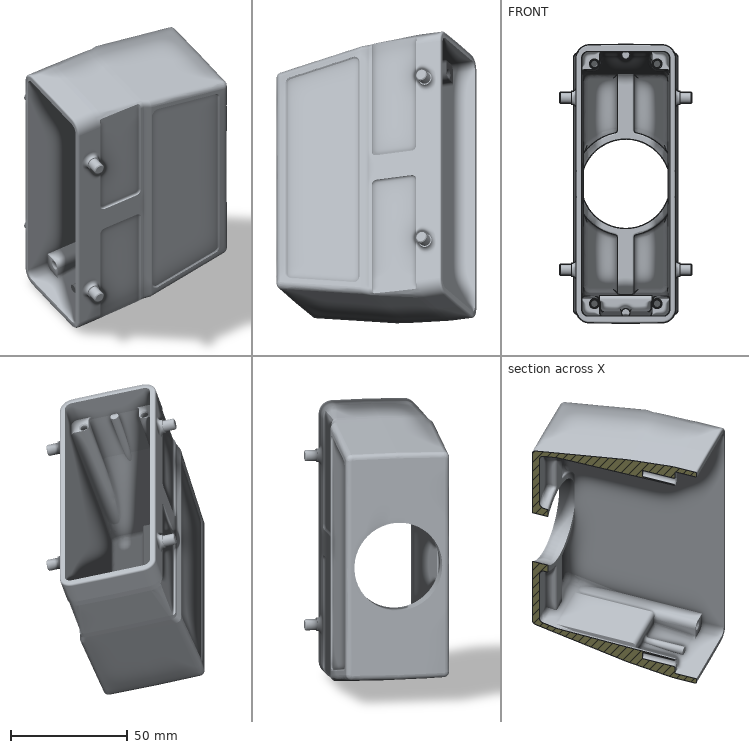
import cadquery as cq
import math

DEPTH = 76.0
FRONT_HALF_WIDTH = 21.4
REAR_HALF_WIDTH = 22.55
FRONT_HALF_HEIGHT = 60.1
MID_HALF_HEIGHT = 57.6
REAR_HALF_HEIGHT = 49.2
END_CROWN = 0.3
FRONT_CORNER_RADIUS = 5.8
REAR_CORNER_RADIUS = 2.4
FRONT_BEND = 11.25
MID_BEND = 32.1
BEND_HALF_LENGTH = 1.3
FLARE_START = MID_BEND + BEND_HALF_LENGTH
FLARE_END = 36.5
REAR_EDGE_RADIUS = 2.2
RIM_RADIUS = 0.8

OPENING_HALF_WIDTH = 19.0
FLOOR_HALF_WIDTH = 18.1
END_WALL = 3.1
CAVITY_CORNER_RADIUS = 3.0
REAR_WALL = 3.5
FLOOR_Y = DEPTH - REAR_WALL
FLOOR_FILLET = 1.9
POCKET_CORNER_RADIUS = 1.2

ENTRY_RADIUS = 19.2
COLLAR_RADIUS = 22.4
SPINE_HALF_WIDTH = 3.6
RIB_HEIGHT = 4.0
RIB_EDGE_FILLET = 0.8

POST_X = 13.5
POST_Z = 51.6
POST_FRONT_Y = 10.0
POST_INNER_X = 11.2
POST_INNER_Z = 49.2
POST_CORNER_RADIUS = 2.6
POST_DRAFT = 1.0
POST_FOOT_RADIUS = 1.3
SCREW_HOLE_RADIUS = 1.6
SCREW_HOLE_DEPTH = 15.0
SCREW_HOLE_CHAMFER = 0.5
LEDGE_FRONT_Y = 29.0
LEDGE_TOP_Z = 48.1
LEDGE_EDGE_RADIUS = 1.8
LEDGE_FOOT_RADIUS = 1.3
ROOT_Z = 58.0
GUIDE_RADIUS = 1.8
GUIDE_Z = 55.5
GUIDE_FRONT_Y = 11.0

GRIP_FRONT_Y = 11.3
GRIP_REAR_Y = 31.8
GRIP_INNER_Z = 5.6
GRIP_DEPTH = 1.0
GRIP_CORNER_RADIUS = 2.2
GRIP_FLOOR_FILLET = 0.9
PANEL_FRONT_Y = 37.1
PANEL_REAR_Y = 71.2
PANEL_EDGE_MARGIN = 4.7
PANEL_DEPTH = 0.6
PANEL_CORNER_RADIUS = 2.5
PANEL_BEVEL = 0.55

PIN_Y = 6.3
PIN_Z = 37.0
PIN_RADIUS = 2.4
PIN_TIP_X = 28.5
PIN_TIP_CHAMFER = 0.4
PIN_COLLAR_RADIUS = 2.9
PIN_COLLAR_X = 23.4
PIN_FOOT_RADIUS = 4.5
PIN_FOOT_END_X = 23.0

HOLLOW_MIDDLE = 1 - math.sqrt(0.5)


def interpolate(y, points):
    """Piecewise linear value at y through (y, value) points."""
    for (y0, v0), (y1, v1) in zip(points, points[1:]):
        if y <= y1:
            return v0 + (v1 - v0) * (y - y0) / (y1 - y0)
    return points[-1][1]


def half_width(y):
    return interpolate(y, [(0, FRONT_HALF_WIDTH), (FLARE_START, FRONT_HALF_WIDTH),
                           (FLARE_END, REAR_HALF_WIDTH), (DEPTH, REAR_HALF_WIDTH)])


def half_height(y):
    return interpolate(y, [(0, FRONT_HALF_HEIGHT), (FRONT_BEND, FRONT_HALF_HEIGHT),
                           (MID_BEND, MID_HALF_HEIGHT), (DEPTH, REAR_HALF_HEIGHT)])


def corner_radius(y):
    return interpolate(y, [(0, FRONT_CORNER_RADIUS), (FRONT_BEND, FRONT_CORNER_RADIUS),
                           (MID_BEND, REAR_CORNER_RADIUS), (DEPTH, REAR_CORNER_RADIUS)])


def cavity_half_width(y):
    return interpolate(y, [(0, OPENING_HALF_WIDTH), (FLOOR_Y, FLOOR_HALF_WIDTH)])


def section(y, width, height, radius, crown=0):
    """Rounded rectangle in the plane at depth y; a crown ridges it at the middle of both ends."""
    side = height - crown
    points = [(-width, -side), (width, -side), (width, side), (-width, side)]
    if crown:
        points.insert(1, (0, -height))
        points.insert(4, (0, height))
    outline = cq.Wire.makePolygon([cq.Vector(x, y, z) for x, z in points], close=True)
    corners = [v for v in outline.Vertices() if abs(v.X) > width / 2]
    return outline.fillet2D(radius, corners)


def outer_body():
    stations = [0,
                FRONT_BEND - BEND_HALF_LENGTH, FRONT_BEND + BEND_HALF_LENGTH,
                MID_BEND - BEND_HALF_LENGTH, FLARE_START, FLARE_END, DEPTH]
    wires = [section(y, half_width(y), half_height(y), corner_radius(y), END_CROWN)
             for y in stations]
    body = cq.Workplane(cq.Solid.makeLoft(wires, True))
    body = body.faces(">Y").edges().fillet(REAR_EDGE_RADIUS)
    return body.faces("<Y").edges().fillet(RIM_RADIUS)


def cavity():
    stations = [0, FRONT_BEND, MID_BEND, FLOOR_Y]
    wires = [section(y, cavity_half_width(y), half_height(y) - END_WALL,
                     CAVITY_CORNER_RADIUS)
             for y in stations]
    space = cq.Workplane(cq.Solid.makeLoft(wires, True))
    slab_y = FLOOR_Y - RIB_HEIGHT
    slab = along_y(slab_y).rect(2 * REAR_HALF_WIDTH, 2 * FRONT_HALF_HEIGHT).extrude(RIB_HEIGHT)
    hall = space.cut(slab).cut(end_fittings())
    return hall.union(floor_pockets(space.intersect(slab)))


def floor_pockets(slab):
    """Four sunk pockets left between the collar, the spine and the cavity walls."""
    pockets = slab.cut(floor_ribs())
    outermost = cq.selectors.DirectionMinMaxSelector(cq.Vector(1, 0, 1))
    pocket = cq.Workplane(pockets.solids(outermost).val())
    pocket = pocket.faces(">Y").edges().fillet(FLOOR_FILLET)
    right = pocket.union(pocket.mirror("XY"))
    return right.union(right.mirror("YZ"))


def along_y(start_y):
    """Plane at depth start_y, facing +Y, with its own x along -X and its own y along Z."""
    return cq.Workplane(cq.Plane((0, start_y, 0), (-1, 0, 0), (0, 1, 0)))


def floor_ribs():
    """Collar round the cable entry, with a spine running to both ends."""
    rib_y = FLOOR_Y - RIB_HEIGHT
    collar = along_y(rib_y).circle(COLLAR_RADIUS).extrude(RIB_HEIGHT)
    spine = along_y(rib_y).rect(2 * SPINE_HALF_WIDTH, 2 * FRONT_HALF_HEIGHT).extrude(RIB_HEIGHT)
    ribs = collar.union(spine)
    junctions = ribs.edges("|Y").filter(lambda edge: abs(edge.Center().z) < COLLAR_RADIUS)
    ribs = junctions.fillet(POCKET_CORNER_RADIUS)
    return ribs.faces("<Y").edges().fillet(RIB_EDGE_FILLET)


def end_fittings():
    """Four screw posts, a round guide rib at each end wall and the ledge at the lower end."""
    post_length = FLOOR_Y - POST_FRONT_Y
    post_width = REAR_HALF_WIDTH - POST_INNER_X
    post_height = FRONT_HALF_HEIGHT - POST_INNER_Z
    post = (along_y(POST_FRONT_Y)
            .center(-POST_INNER_X - post_width / 2, POST_INNER_Z + post_height / 2)
            .sketch()
            .rect(post_width, post_height)
            .vertices(">X and <Y")
            .fillet(POST_CORNER_RADIUS)
            .finalize()
            .extrude(post_length, taper=-POST_DRAFT))
    posts = post.union(post.mirror("YZ"))
    guide = along_y(GUIDE_FRONT_Y).center(0, GUIDE_Z).circle(GUIDE_RADIUS)
    guide = guide.extrude(FLOOR_Y - GUIDE_FRONT_Y)
    upper = posts.union(guide)
    return upper.union(upper.mirror("XY")).union(ledge())


def ledge():
    """Step between the two lower posts, with a hollow foot at the end wall and round the guide."""
    foot_y = LEDGE_FRONT_Y - LEDGE_FOOT_RADIUS
    wall_z = half_height(foot_y) - END_WALL
    foot_center = cq.Vector(foot_y, -wall_z + LEDGE_FOOT_RADIUS)
    foot_middle = foot_center + cq.Vector(1, -1).normalized() * LEDGE_FOOT_RADIUS
    step = (cq.Workplane("YZ")
            .moveTo(LEDGE_FRONT_Y, -LEDGE_TOP_Z)
            .lineTo(LEDGE_FRONT_Y, foot_center.y)
            .threePointArc((foot_middle.x, foot_middle.y), (foot_y, -wall_z))
            .lineTo(foot_y, -ROOT_Z)
            .lineTo(FLOOR_Y, -ROOT_Z)
            .lineTo(FLOOR_Y, -LEDGE_TOP_Z)
            .close()
            .extrude(POST_INNER_X, both=True))
    step = step.faces(">Z").edges("<Y").fillet(LEDGE_EDGE_RADIUS)
    flare_radius = GUIDE_RADIUS + LEDGE_FOOT_RADIUS
    flare_middle = GUIDE_RADIUS + LEDGE_FOOT_RADIUS * HOLLOW_MIDDLE
    guide_foot = (cq.Workplane("XY")
                  .moveTo(0, foot_y)
                  .lineTo(GUIDE_RADIUS, foot_y)
                  .threePointArc((flare_middle, foot_middle.x), (flare_radius, LEDGE_FRONT_Y))
                  .lineTo(flare_radius, LEDGE_FRONT_Y + LEDGE_FOOT_RADIUS)
                  .lineTo(0, LEDGE_FRONT_Y + LEDGE_FOOT_RADIUS)
                  .close()
                  .revolve(360, (0, 0, 0), (0, 1, 0)))
    return step.union(guide_foot.translate((0, 0, -GUIDE_Z)))


def screw_holes():
    places = [(x, z) for x in (-POST_X, POST_X) for z in (-POST_Z, POST_Z)]
    holes = along_y(POST_FRONT_Y).pushPoints(places).circle(SCREW_HOLE_RADIUS)
    holes = holes.extrude(SCREW_HOLE_DEPTH)
    mouth = cq.Solid.makeCone(SCREW_HOLE_RADIUS + SCREW_HOLE_CHAMFER, SCREW_HOLE_RADIUS,
                              SCREW_HOLE_CHAMFER, cq.Vector(0, POST_FRONT_Y, 0),
                              cq.Vector(0, 1, 0))
    for x, z in places:
        holes = holes.union(cq.Workplane(mouth.translate(cq.Vector(x, 0, z))))
    return holes


def cable_entry():
    entry_y = FLOOR_Y - RIB_HEIGHT
    return along_y(entry_y).circle(ENTRY_RADIUS).extrude(DEPTH - entry_y)


def grip_recess():
    """Recess at the +X side, open to the upper end of the shell."""
    length = GRIP_REAR_Y - GRIP_FRONT_Y
    floor_x = FRONT_HALF_WIDTH - GRIP_DEPTH
    block = cq.Workplane().box(2 * GRIP_DEPTH, length, FRONT_HALF_HEIGHT, centered=False)
    block = block.edges("|X and <Z").fillet(GRIP_CORNER_RADIUS)
    block = block.faces("<X").edges("not >Z").fillet(GRIP_FLOOR_FILLET)
    return block.translate((floor_x, GRIP_FRONT_Y, GRIP_INNER_Z))


def panel_recess():
    """Shallow trapezoid panel at the +X side, following the leaning end walls."""
    front_z = half_height(PANEL_FRONT_Y) - PANEL_EDGE_MARGIN
    rear_z = half_height(PANEL_REAR_Y) - PANEL_EDGE_MARGIN
    outline = [(PANEL_FRONT_Y, -front_z), (PANEL_REAR_Y, -rear_z),
               (PANEL_REAR_Y, rear_z), (PANEL_FRONT_Y, front_z)]
    panel = cq.Workplane("YZ").polyline(outline).close().extrude(-PANEL_DEPTH)
    panel = panel.edges("|X").fillet(PANEL_CORNER_RADIUS)
    panel = panel.faces("<X").edges().chamfer(PANEL_BEVEL)
    return panel.translate((REAR_HALF_WIDTH, 0, 0))


def side_recesses():
    grip = grip_recess()
    right = grip.union(grip.mirror("XY")).union(panel_recess())
    return right.union(right.mirror("YZ"))


def pin():
    """Stepped locking pin at the +X side, turned about X."""
    root_x = (OPENING_HALF_WIDTH + FRONT_HALF_WIDTH) / 2
    flare_middle = (FRONT_HALF_WIDTH + (PIN_FOOT_END_X - FRONT_HALF_WIDTH) * HOLLOW_MIDDLE,
                    PIN_FOOT_RADIUS - (PIN_FOOT_RADIUS - PIN_COLLAR_RADIUS) * (1 - HOLLOW_MIDDLE))
    profile = (cq.Workplane("XY")
               .moveTo(root_x, 0)
               .lineTo(root_x, PIN_FOOT_RADIUS)
               .lineTo(FRONT_HALF_WIDTH, PIN_FOOT_RADIUS)
               .threePointArc(flare_middle, (PIN_FOOT_END_X, PIN_COLLAR_RADIUS))
               .lineTo(PIN_COLLAR_X, PIN_COLLAR_RADIUS)
               .lineTo(PIN_COLLAR_X, PIN_RADIUS)
               .lineTo(PIN_TIP_X - PIN_TIP_CHAMFER, PIN_RADIUS)
               .lineTo(PIN_TIP_X, PIN_RADIUS - PIN_TIP_CHAMFER)
               .lineTo(PIN_TIP_X, 0)
               .close())
    return profile.revolve(360, (0, 0, 0), (1, 0, 0)).translate((0, PIN_Y, PIN_Z))


def pins():
    right = pin().union(pin().mirror("XY"))
    return right.union(right.mirror("YZ"))


def round_post_feet(body):
    """Concave fillets where the inner sides of the posts meet the end walls."""
    past_post_corner = POST_INNER_Z + POST_CORNER_RADIUS + POST_FOOT_RADIUS

    def is_post_foot(edge):
        center = edge.Center()
        direction = edge.tangentAt(0.5)
        runs_along_y = abs(direction.y) > abs(direction.x) + abs(direction.z)
        beside_post = abs(abs(center.x) - POST_INNER_X) < POST_FOOT_RADIUS
        return runs_along_y and beside_post and past_post_corner < abs(center.z) < ROOT_Z

    return body.edges().filter(is_post_foot).fillet(POST_FOOT_RADIUS)


result = round_post_feet(outer_body().cut(cavity()))
result = result.cut(screw_holes()).cut(cable_entry())
result = result.cut(side_recesses()).union(pins())